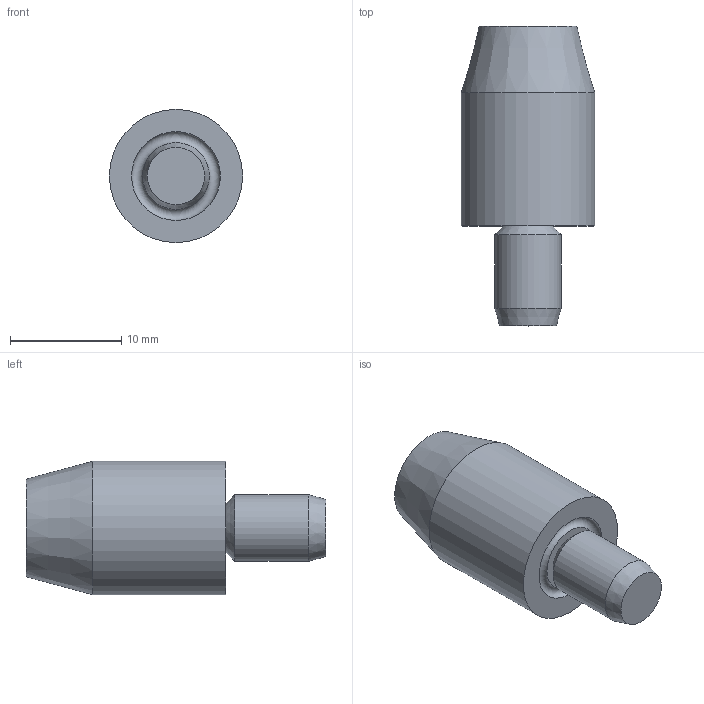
import cadquery as cq
import math

BODY_DIAMETER = 12.0
BODY_LENGTH = 18.0
BODY_TAPER_LENGTH = 6.0

PIN_DIAMETER = 6.0
PIN_LENGTH = 9.0
PIN_TAPER_LENGTH = 1.6
TAPER_ANGLE = 15.0

NECK_LENGTH = 0.8
NECK_ANGLE = 45.0

GROOVE_INNER_DIAMETER = PIN_DIAMETER
GROOVE_OUTER_DIAMETER = 8.0

SHOULDER_Y = 0.0


def cone_drop(length, angle):
    """Radius lost along a cone of the given length and half angle."""
    return length * math.tan(math.radians(angle))


def turned_part():
    """Revolve the half profile, drawn in YZ with Z as radius, about the Y axis."""
    body_radius = BODY_DIAMETER / 2
    body_end_radius = body_radius - cone_drop(BODY_TAPER_LENGTH, TAPER_ANGLE)
    body_end_y = SHOULDER_Y + BODY_LENGTH

    pin_radius = PIN_DIAMETER / 2
    pin_end_radius = pin_radius - cone_drop(PIN_TAPER_LENGTH, TAPER_ANGLE)
    pin_end_y = SHOULDER_Y - PIN_LENGTH
    neck_radius = pin_radius - cone_drop(NECK_LENGTH, NECK_ANGLE)

    groove_inner_radius = GROOVE_INNER_DIAMETER / 2
    groove_outer_radius = GROOVE_OUTER_DIAMETER / 2
    groove_mid_radius = (groove_inner_radius + groove_outer_radius) / 2
    groove_depth = (groove_outer_radius - groove_inner_radius) / 2

    profile = (
        cq.Workplane("YZ")
        .moveTo(pin_end_y, 0)
        .lineTo(pin_end_y, pin_end_radius)
        .lineTo(pin_end_y + PIN_TAPER_LENGTH, pin_radius)
        .lineTo(SHOULDER_Y - NECK_LENGTH, pin_radius)
        .lineTo(SHOULDER_Y, neck_radius)
        .lineTo(SHOULDER_Y, groove_inner_radius)
        .threePointArc(
            (SHOULDER_Y + groove_depth, groove_mid_radius),
            (SHOULDER_Y, groove_outer_radius),
        )
        .lineTo(SHOULDER_Y, body_radius)
        .lineTo(body_end_y - BODY_TAPER_LENGTH, body_radius)
        .lineTo(body_end_y, body_end_radius)
        .lineTo(body_end_y, 0)
        .close()
    )
    return profile.revolve(360, (0, 0), (1, 0))


result = turned_part()